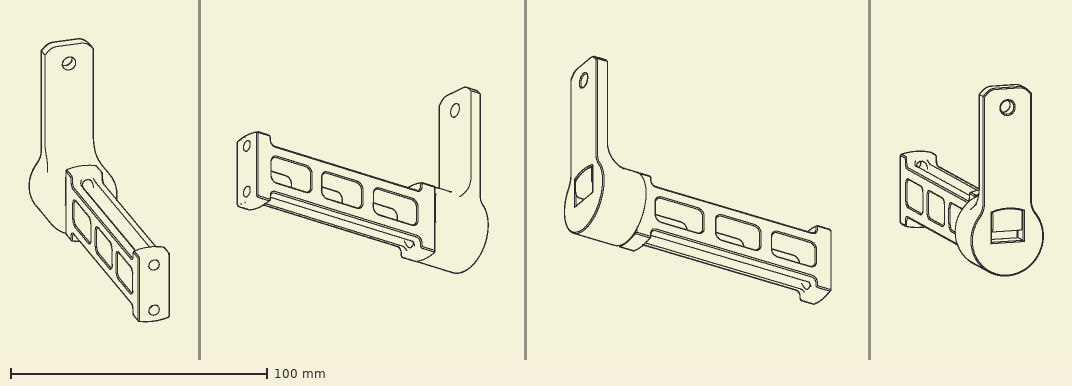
import cadquery as cq
import math

LENGTH = 109.0
HEIGHT = 75.0
EDGE_CHAMFER = 0.4

HUB_DIAMETER = 30.0
HUB_RADIUS = HUB_DIAMETER / 2
HUB_LENGTH = 20.0
HUB_FILLET = 1.0
LEVER_TOP = HEIGHT - HUB_RADIUS
LEVER_WIDTH = 20.0
LEVER_THICKNESS = 5.0
LEVER_CORNER = 2.9
LEVER_CORNER_FILLET = 5.0
SIDE_FILLET = 8.5
BACK_FILLET = 7.8
LEVER_HOLE_DIAMETER = 5.5
LEVER_HOLE_TO_TOP = 8.0

BAR_WIDTH = 13.0
HEAD_HALF_HEIGHT = 14.7
HEAD_CROWN_RADIUS = 23.3
WAIST_HALF_HEIGHT = 10.9
WAIST_CROWN_RADIUS = HEAD_CROWN_RADIUS - (HEAD_HALF_HEIGHT - WAIST_HALF_HEIGHT)
WAIST_START = 27.1
WAIST_END = 102.0
WAIST_FILLET = 2.0
HEAD_FILLET = 1.0

BORE_RADIUS = 4.3 / 2
BORE_TANGENT_Y = 1.81
GROOVE_RIM_Y = 3.12
BORE_TANGENT_RISE = math.sqrt(BORE_RADIUS**2 - BORE_TANGENT_Y**2)
GROOVE_WALL_TAPER = BORE_TANGENT_RISE / BORE_TANGENT_Y
GROOVE_RIM_Z = (
    math.sqrt(WAIST_CROWN_RADIUS**2 - GROOVE_RIM_Y**2) - WAIST_CROWN_RADIUS + WAIST_HALF_HEIGHT
)
BORE_TANGENT_Z = GROOVE_RIM_Z - (GROOVE_RIM_Y - BORE_TANGENT_Y) / GROOVE_WALL_TAPER
BORE_Z = BORE_TANGENT_Z + BORE_TANGENT_RISE

WINDOW_SPANS = [(29.1, 50.6), (56.6, 76.4), (82.0, 101.7)]
WINDOW_HEIGHT = 10.7
WINDOW_CORNER = 2.6

TANG_TOP = 11.7
TANG_BOTTOM = -1.2
STEP_TOP = 4.6
STEP_RADIUS = 2.0
STEP_DEPTH = 6.0

SELECT_MARGIN = 0.2
CROWN_ZONE = 1.6


def crowned_bar(x_start, x_end, top, bottom, crown_radius, crowned_bottom):
    """Bar along X with a crowned top, and either a crowned or a flat bottom."""
    half_width = BAR_WIDTH / 2
    sagitta = crown_radius - math.sqrt(crown_radius**2 - half_width**2)
    outline = (
        cq.Workplane("YZ", origin=(x_start, 0, 0))
        .moveTo(half_width, top - sagitta)
        .threePointArc((0, top), (-half_width, top - sagitta))
    )
    if crowned_bottom:
        outline = outline.lineTo(-half_width, bottom + sagitta)
        outline = outline.threePointArc((0, bottom), (half_width, bottom + sagitta))
    else:
        outline = outline.lineTo(-half_width, bottom).lineTo(half_width, bottom)
    return outline.close().extrude(x_end - x_start)


def tang_blank():
    """Tang before its end is stepped; also the shape of the socket in the hub."""
    return crowned_bar(0, HUB_LENGTH, TANG_TOP, TANG_BOTTOM, WAIST_CROWN_RADIUS, False)


def lever_plan(depth):
    """Lever outline with its flared foot, extruded along X from the front face."""
    half_width = LEVER_WIDTH / 2
    centre_distance = HUB_RADIUS + SIDE_FILLET
    flare_y = half_width + SIDE_FILLET
    flare_z = math.sqrt(centre_distance**2 - flare_y**2)
    foot_y = flare_y * HUB_RADIUS / centre_distance
    foot_z = flare_z * HUB_RADIUS / centre_distance
    angle = math.pi + math.atan2(flare_z, flare_y) / 2
    middle_y = flare_y + SIDE_FILLET * math.cos(angle)
    middle_z = flare_z + SIDE_FILLET * math.sin(angle)
    plan = (
        cq.Workplane("YZ")
        .moveTo(-foot_y, foot_z)
        .threePointArc((-middle_y, middle_z), (-half_width, flare_z))
        .lineTo(-half_width, LEVER_TOP - LEVER_CORNER)
        .lineTo(-half_width + LEVER_CORNER, LEVER_TOP)
        .lineTo(half_width - LEVER_CORNER, LEVER_TOP)
        .lineTo(half_width, LEVER_TOP - LEVER_CORNER)
        .lineTo(half_width, flare_z)
        .threePointArc((middle_y, middle_z), (foot_y, foot_z))
        .lineTo(0, 0)
        .close()
        .extrude(depth)
    )
    return plan.edges("|X and >Z").fillet(LEVER_CORNER_FILLET)


def back_fillet_collar():
    """Ring around the hub with the concave fillet that runs up to the lever back."""
    centre_x = LEVER_THICKNESS + BACK_FILLET
    centre_z = HUB_RADIUS + BACK_FILLET
    reach = BACK_FILLET * math.sqrt(0.5)
    return (
        cq.Workplane("XZ")
        .lineTo(0, centre_z)
        .lineTo(LEVER_THICKNESS, centre_z)
        .threePointArc((centre_x - reach, centre_z - reach), (centre_x, HUB_RADIUS))
        .lineTo(centre_x, 0)
        .close()
        .revolve(360, (0, 0, 0), (1, 0, 0))
    )


def make_handle():
    hub = cq.Workplane("YZ").circle(HUB_RADIUS).extrude(HUB_LENGTH)
    hub = hub.faces(">X").edges().fillet(HUB_FILLET)
    foot = lever_plan(HUB_LENGTH).intersect(back_fillet_collar())
    handle = hub.union(lever_plan(LEVER_THICKNESS)).union(foot)
    lever_hole = (
        cq.Workplane("YZ")
        .center(0, LEVER_TOP - LEVER_HOLE_TO_TOP)
        .circle(LEVER_HOLE_DIAMETER / 2)
        .extrude(LEVER_THICKNESS)
    )
    handle = handle.cut(lever_hole).cut(tang_blank())
    return handle.faces("<X").edges().chamfer(EDGE_CHAMFER)


def make_groove():
    """Cutter for the groove along the top of the waist."""
    top_z = HEAD_HALF_HEIGHT
    top_y = BORE_TANGENT_Y + (top_z - BORE_TANGENT_Z) * GROOVE_WALL_TAPER
    return (
        cq.Workplane("YZ", origin=(WAIST_START, 0, 0))
        .moveTo(-top_y, top_z)
        .lineTo(-BORE_TANGENT_Y, BORE_TANGENT_Z)
        .threePointArc((0, BORE_Z - BORE_RADIUS), (BORE_TANGENT_Y, BORE_TANGENT_Z))
        .lineTo(top_y, top_z)
        .close()
        .extrude(WAIST_END - WAIST_START)
    )


def make_bore():
    """Cutter that carries the round groove bottom on through both heads."""
    return (
        cq.Workplane("YZ", origin=(HUB_LENGTH, 0, BORE_Z))
        .circle(BORE_RADIUS)
        .extrude(LENGTH - HUB_LENGTH)
    )


def crown_edges(x, half_height):
    """Selects the crowns, with any groove edges in them, at one X, at the top and the bottom."""
    x_start, x_end = x - SELECT_MARGIN, x + SELECT_MARGIN
    low = half_height - CROWN_ZONE
    high = half_height + SELECT_MARGIN
    top = cq.selectors.BoxSelector((x_start, -BAR_WIDTH, low), (x_end, BAR_WIDTH, high))
    bottom = cq.selectors.BoxSelector((x_start, -BAR_WIDTH, -high), (x_end, BAR_WIDTH, -low))
    return top + bottom


def make_window(start, end):
    """Cutter for one rounded window through the bar."""
    return (
        cq.Workplane("XY")
        .box(end - start, BAR_WIDTH, WINDOW_HEIGHT)
        .edges("|Y")
        .fillet(WINDOW_CORNER)
        .translate(((start + end) / 2, 0, 0))
    )


def make_grip():
    """Two crowned heads joined by the grooved, windowed waist."""
    grip = crowned_bar(
        HUB_LENGTH, LENGTH, WAIST_HALF_HEIGHT, -WAIST_HALF_HEIGHT, WAIST_CROWN_RADIUS, True
    )
    for start, end in [(HUB_LENGTH, WAIST_START), (WAIST_END, LENGTH)]:
        head = crowned_bar(start, end, HEAD_HALF_HEIGHT, -HEAD_HALF_HEIGHT, HEAD_CROWN_RADIUS, True)
        grip = grip.union(head)

    groove = make_groove()
    grip = grip.cut(groove).cut(groove.mirror("XY"))
    for x in (WAIST_START, WAIST_END):
        grip = grip.edges(crown_edges(x, WAIST_HALF_HEIGHT)).fillet(WAIST_FILLET)
    for x in (WAIST_START, WAIST_END, LENGTH):
        grip = grip.edges(crown_edges(x, HEAD_HALF_HEIGHT)).fillet(HEAD_FILLET)
    for start, end in WINDOW_SPANS:
        grip = grip.cut(make_window(start, end))
    bore = make_bore()
    grip = grip.cut(bore).cut(bore.mirror("XY"))
    return grip.faces("<Y or >Y").edges().chamfer(EDGE_CHAMFER)


def make_tang():
    """Tang whose lower front is cut back with an S-shaped step."""
    step_z = STEP_TOP - STEP_RADIUS
    arc_offset = STEP_RADIUS * (1 - math.sqrt(0.5))
    step = (
        cq.Workplane("XZ")
        .moveTo(0, STEP_TOP)
        .threePointArc((arc_offset, step_z + arc_offset), (STEP_RADIUS, step_z))
        .lineTo(STEP_DEPTH - STEP_RADIUS, step_z)
        .threePointArc(
            (STEP_DEPTH - arc_offset, step_z - arc_offset), (STEP_DEPTH, step_z - STEP_RADIUS)
        )
        .lineTo(STEP_DEPTH, TANG_BOTTOM)
        .lineTo(0, TANG_BOTTOM)
        .close()
        .extrude(BAR_WIDTH / 2, both=True)
    )
    tang = tang_blank().cut(step)
    tang = tang.edges(crown_edges(0, TANG_TOP)).fillet(HEAD_FILLET)
    end_zone = cq.selectors.BoxSelector(
        (-SELECT_MARGIN, -BAR_WIDTH, TANG_BOTTOM),
        (STEP_DEPTH + SELECT_MARGIN, BAR_WIDTH, TANG_TOP),
    )
    return tang.faces("<Y or >Y").edges(end_zone).chamfer(EDGE_CHAMFER)


handle = make_handle()
bar = make_grip().union(make_tang())

result = cq.Compound.makeCompound([handle.val(), bar.val()])